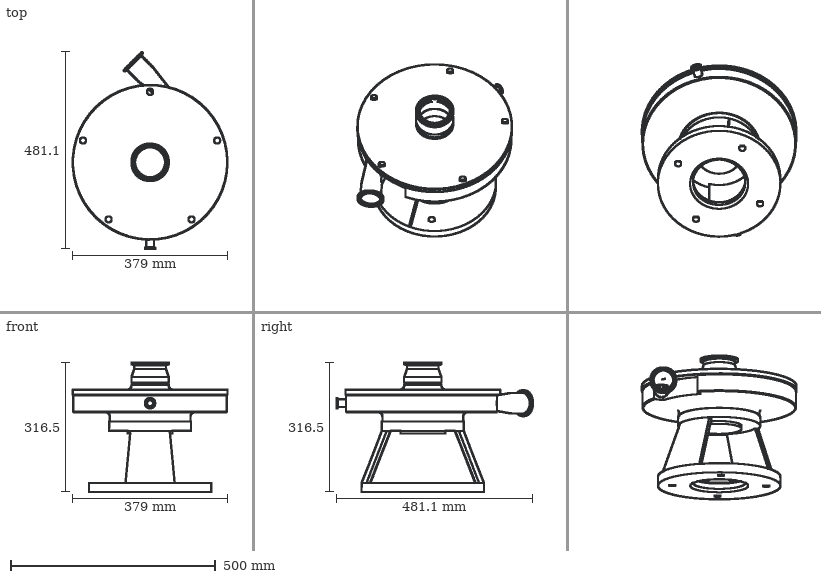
import cadquery as cq
import math

base_radius = 150.0
plate_thickness = 23.0
base_bore_radius = 64.0
base_bore_top_chamfer = 3.0
base_bore_bottom_chamfer = 7.0
base_hole_radius = 7.5
base_hole_circle_radius = 115.0
base_hole_count = 4
base_hole_first_angle = 45.0

ring_radius = 100.5
ring_bottom = 150.0
ring_top = ring_bottom + plate_thickness

leg_top_radius = ring_radius
leg_bottom_radius = base_radius
leg_wall = 9.5
leg_inner_chamfer = 2.0
leg_top_half_width = 48.4
leg_bottom_half_width = 60.4

spigot_radius = 55.0
spigot_bottom = 143.0
neck_radius = 99.0
neck_fillet = 10.0
casing_radius = 188.0
casing_bottom = 195.0
casing_bottom_chamfer = 2.0
casing_top_chamfer = 1.5
lid_radius = 189.5
lid_bottom = 238.0
lid_top = 251.0
lid_chamfer = 1.2
lid_hole_radius = 7.5
lid_hole_circle_radius = 172.5
lid_hole_count = 5
lid_hole_first_angle = 90.0

relief_radius = 162.0
relief_start_angle = 75.0
relief_end_angle = 116.3

collar_radius = 45.7
collar_fillet = 10.0
collar_top = 265.5
collar_chamfer = 3.0
inlet_body_radius = 46.0
inlet_body_bottom = 267.5
inlet_body_chamfer = 1.0
inlet_cone_bottom = 281.0
inlet_cone_top = 301.4
inlet_pipe_radius = 39.0
inlet_top = 316.5
inlet_flange_radius = 46.0
inlet_bore_radius = 36.5
inlet_flare_radius = 41.0
inlet_flare_top = 288.0
inlet_flare_bottom = 264.0

flange_rim = 3.5
inlet_flange_taper = 3.0

seal_groove_depth = 1.5
seal_groove_half_width = 2.0
seal_groove_floor_half_width = 1.0
inlet_groove_radius = 42.0
outlet_groove_radius = 28.0
drain_groove_radius = 10.2

port_height = 217.5
outlet_angle = 135.0
outlet_offset = 144.5
outlet_end = 204.73
outlet_cone_start = 160.5
outlet_cone_end = 85.0
outlet_radius = 25.5
outlet_cone_end_radius = 16.2
outlet_wall = 1.7
outlet_flange_radius = 32.0
outlet_flange_taper = 1.5

drain_end = 211.5
drain_radius = 9.8
drain_bore_radius = 7.5
drain_flange_radius = 12.7
drain_flange_rim = 2.5
drain_flange_taper = 1.5
drain_bore_depth = 40.0


def turned(points):
    """Solid of revolution about Z from (radius, height) points."""
    return cq.Workplane("XZ").polyline(points).close().revolve(360, (0, 0), (0, 1))


def disc(radius, bottom, top):
    return cq.Workplane("XY").workplane(offset=bottom).circle(radius).extrude(top - bottom)


def hole_ring(count, circle_radius, hole_radius, first_angle, bottom, top):
    """Vertical drills spaced evenly on a circle."""
    return (
        cq.Workplane("XY")
        .workplane(offset=bottom)
        .polarArray(circle_radius, first_angle, 360, count)
        .circle(hole_radius)
        .extrude(top - bottom)
    )


def seal_groove(radius, face):
    """Ring with a trapezoid section, cut into a flange face at the given height."""
    return turned(
        [
            (radius - seal_groove_half_width, face),
            (radius + seal_groove_half_width, face),
            (radius + seal_groove_floor_half_width, face - seal_groove_depth),
            (radius - seal_groove_floor_half_width, face - seal_groove_depth),
        ]
    )


def make_base():
    base = disc(base_radius, 0, plate_thickness).cut(disc(base_bore_radius, 0, plate_thickness))
    bore_rim = cq.selectors.RadiusNthSelector(0)
    base = base.faces(">Z").edges(bore_rim).chamfer(base_bore_top_chamfer)
    base = base.faces("<Z").edges(bore_rim).chamfer(base_bore_bottom_chamfer)
    holes = hole_ring(
        base_hole_count,
        base_hole_circle_radius,
        base_hole_radius,
        base_hole_first_angle,
        0,
        plate_thickness,
    )
    return base.cut(holes)


def make_legs():
    """Two opposed sectors of a conical shell, tapering in width towards the top."""
    shell = turned(
        [
            (leg_bottom_radius - leg_wall, plate_thickness),
            (leg_bottom_radius, plate_thickness),
            (leg_top_radius, ring_bottom),
            (leg_top_radius - leg_wall, ring_bottom),
        ]
    )
    outline = (
        cq.Workplane("XZ")
        .polyline(
            [
                (-leg_bottom_half_width, plate_thickness),
                (leg_bottom_half_width, plate_thickness),
                (leg_top_half_width, ring_bottom),
                (-leg_top_half_width, ring_bottom),
            ]
        )
        .close()
        .extrude(base_radius, both=True)
    )
    legs = shell.intersect(outline)
    mid_wall_radius = (leg_top_radius + leg_bottom_radius - leg_wall) / 2
    mid_half_width = (leg_top_half_width + leg_bottom_half_width) / 2
    mid_wall_depth = math.sqrt(mid_wall_radius**2 - mid_half_width**2)
    inner_long_edges = cq.selectors.BoxSelector(
        (-base_radius, -mid_wall_depth, plate_thickness + leg_wall),
        (base_radius, mid_wall_depth, ring_bottom - leg_wall),
    )
    return legs.edges(inner_long_edges).chamfer(leg_inner_chamfer)


def make_stand():
    ring = disc(ring_radius, ring_bottom, ring_top).cut(disc(spigot_radius, ring_bottom, ring_top))
    return make_base().union(make_legs()).union(ring)


def make_casing():
    """Spigot, neck and drum turned as one profile."""
    return (
        cq.Workplane("XZ")
        .moveTo(0, spigot_bottom)
        .lineTo(spigot_radius, spigot_bottom)
        .lineTo(spigot_radius, ring_top)
        .lineTo(neck_radius, ring_top)
        .lineTo(neck_radius, casing_bottom - neck_fillet)
        .radiusArc((neck_radius + neck_fillet, casing_bottom), neck_fillet)
        .lineTo(casing_radius - casing_bottom_chamfer, casing_bottom)
        .lineTo(casing_radius, casing_bottom + casing_bottom_chamfer)
        .lineTo(casing_radius, lid_bottom - casing_top_chamfer)
        .lineTo(casing_radius - casing_top_chamfer, lid_bottom)
        .lineTo(0, lid_bottom)
        .close()
        .revolve(360, (0, 0), (0, 1))
    )


def make_relief():
    """Sector of a ring removed from the drum wall below the lid."""
    height = lid_bottom - casing_bottom
    reach = 2 * casing_radius
    start = math.radians(relief_start_angle)
    end = math.radians(relief_end_angle)
    sector = (
        cq.Workplane("XY")
        .workplane(offset=casing_bottom)
        .polyline(
            [
                (0, 0),
                (reach * math.cos(start), reach * math.sin(start)),
                (reach * math.cos(end), reach * math.sin(end)),
            ]
        )
        .close()
        .extrude(height)
    )
    return sector.cut(disc(relief_radius, casing_bottom, lid_bottom))


def make_lid():
    """Lid plate with a filleted collar around the inlet."""
    return (
        cq.Workplane("XZ")
        .moveTo(0, lid_bottom)
        .lineTo(lid_radius - lid_chamfer, lid_bottom)
        .lineTo(lid_radius, lid_bottom + lid_chamfer)
        .lineTo(lid_radius, lid_top - lid_chamfer)
        .lineTo(lid_radius - lid_chamfer, lid_top)
        .lineTo(collar_radius + collar_fillet, lid_top)
        .radiusArc((collar_radius, lid_top + collar_fillet), collar_fillet)
        .lineTo(collar_radius, collar_top - collar_chamfer)
        .lineTo(collar_radius - collar_chamfer, collar_top)
        .lineTo(0, collar_top)
        .close()
        .revolve(360, (0, 0), (0, 1))
    )


def make_inlet():
    groove_radius = collar_radius - collar_chamfer
    body = turned(
        [
            (0, collar_top),
            (groove_radius, collar_top),
            (groove_radius, inlet_body_bottom),
            (inlet_body_radius - inlet_body_chamfer, inlet_body_bottom),
            (inlet_body_radius, inlet_body_bottom + inlet_body_chamfer),
            (inlet_body_radius, inlet_cone_bottom),
            (inlet_pipe_radius, inlet_cone_top),
            (inlet_pipe_radius, inlet_top - flange_rim - inlet_flange_taper),
            (inlet_flange_radius, inlet_top - flange_rim),
            (inlet_flange_radius, inlet_top),
            (0, inlet_top),
        ]
    )
    return body.cut(seal_groove(inlet_groove_radius, inlet_top))


def make_inlet_bore():
    """Bore that flares below the pipe and stops at the underside of the lid."""
    return turned(
        [
            (0, lid_bottom),
            (inlet_flare_radius, lid_bottom),
            (inlet_flare_radius, inlet_flare_bottom),
            (inlet_bore_radius, inlet_flare_top),
            (inlet_bore_radius, inlet_top),
            (0, inlet_top),
        ]
    )


def place_outlet(shape):
    """Lay a shape built along Z onto the outlet axis."""
    foot = math.radians(outlet_angle - 90)
    return (
        shape.rotate((0, 0, 0), (0, 1, 0), 90)
        .rotate((0, 0, 0), (0, 0, 1), outlet_angle)
        .translate((outlet_offset * math.cos(foot), outlet_offset * math.sin(foot), port_height))
    )


def make_outlet():
    pipe = turned(
        [
            (0, outlet_cone_end),
            (outlet_cone_end_radius, outlet_cone_end),
            (outlet_radius, outlet_cone_start),
            (outlet_radius, outlet_end - flange_rim - outlet_flange_taper),
            (outlet_flange_radius, outlet_end - flange_rim),
            (outlet_flange_radius, outlet_end),
            (0, outlet_end),
        ]
    )
    return place_outlet(pipe.cut(seal_groove(outlet_groove_radius, outlet_end)))


def make_outlet_bore():
    bore = turned(
        [
            (0, outlet_cone_end),
            (outlet_cone_end_radius - outlet_wall, outlet_cone_end),
            (outlet_radius - outlet_wall, outlet_cone_start),
            (outlet_radius - outlet_wall, outlet_end),
            (0, outlet_end),
        ]
    )
    return place_outlet(bore)


def make_drain():
    """Pipe from inside the drum wall out to its flange."""
    start = drain_end - drain_bore_depth
    taper_start = drain_end - drain_flange_rim - drain_flange_taper
    pipe = turned(
        [
            (0, start),
            (drain_radius, start),
            (drain_radius, taper_start),
            (drain_flange_radius, taper_start + drain_flange_taper),
            (drain_flange_radius, drain_end),
            (0, drain_end),
        ]
    )
    return place_drain(pipe.cut(seal_groove(drain_groove_radius, drain_end)))


def make_drain_bore():
    return place_drain(disc(drain_bore_radius, drain_end - drain_bore_depth, drain_end))


def place_drain(shape):
    """Lay a shape built along Z onto the drain axis, pointing to -Y."""
    return shape.rotate((0, 0, 0), (1, 0, 0), 90).translate((0, 0, port_height))


def make_pump():
    lid_holes = hole_ring(
        lid_hole_count,
        lid_hole_circle_radius,
        lid_hole_radius,
        lid_hole_first_angle,
        lid_bottom,
        lid_top,
    )
    body = make_casing().cut(make_relief())
    body = body.union(make_lid().cut(lid_holes))
    body = body.union(make_inlet()).union(make_outlet()).union(make_drain())
    return body.cut(make_inlet_bore()).cut(make_outlet_bore()).cut(make_drain_bore())


stand = make_stand()
pump = make_pump()
result = cq.Compound.makeCompound([stand.val(), pump.val()])